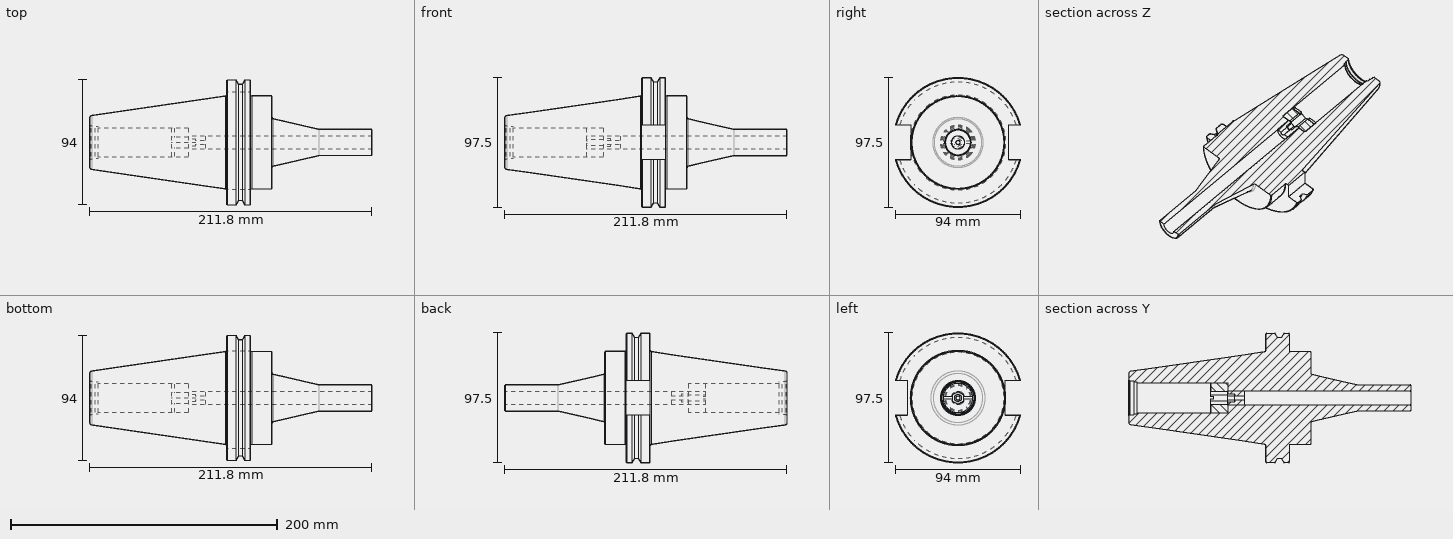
import cadquery as cq
import math

total_length = 211.8

taper_length = 101.9
taper_large_diameter = 69.9
taper_ratio = 7 / 24
taper_small_diameter = taper_large_diameter - taper_ratio * taper_length
taper_end_fillet = 2.0

flange_start = 102.7
flange_end = 120.7
flange_diameter = 97.5
flange_chamfer = 0.6
groove_start = 109.7
groove_end = 116.3
groove_depth = 3.2
groove_half_angle = 30
drive_slot_width = 25.8
drive_slot_floor_front = 35.4
drive_slot_floor_back = 38.0

collar_end = 136.8
collar_diameter = 70.0
collar_chamfer = 0.6
collar_relief_length = 0.8
nose_root_fillet = 1.0
nose_cone_start_diameter = 35.5
nose_cone_end = 171.7
shank_diameter = 20.0
shank_chamfer = 0.6

mouth_diameter = 26.3
mouth_chamfer_length = 1.0
counterbore_diameter = 25.0
counterbore_depth = 3.8
entry_diameter = 24.0
entry_depth = 6.1
bore_diameter = 22.0
bore_depth = 74.1
passage_diameter = 10.0

clamp_screw_length = 12.7
clamp_slot_width = 2.0
clamp_slot_depth = 2.1
clamp_hex_across_flats = 8.3

stop_screw_length = 12.7
stop_hex_across_flats = 5.0
stop_hex_depth = 5.3
coolant_hole_diameter = 3.0


def cylinder(diameter, start, length):
    """Cylinder on the X axis from x = start towards +X."""
    return cq.Workplane("YZ").workplane(offset=start).circle(diameter / 2).extrude(length)


def hex_prism(across_flats, start, length):
    """Hexagonal prism on the X axis with two corners pointing along Z."""
    corner_diameter = across_flats / math.cos(math.radians(30))
    prism = cq.Workplane("YZ").workplane(offset=start).polygon(6, corner_diameter).extrude(length)
    return prism.rotate((0, 0, 0), (1, 0, 0), 90)


def revolve_profile(points):
    """Solid of revolution about the X axis from (x, radius) points."""
    return cq.Workplane("XY").polyline(points).close().revolve(360, (0, 0, 0), (1, 0, 0))


def taper_body():
    """Taper that flares out at 45 degrees where it meets the flange."""
    body = revolve_profile([
        (0, 0),
        (0, taper_small_diameter / 2),
        (taper_length, taper_large_diameter / 2),
        (flange_start, taper_large_diameter / 2 + flange_start - taper_length),
        (flange_start, 0),
    ])
    return body.faces("<X").edges().fillet(taper_end_fillet)


def rim_groove():
    """V-shaped ring with a flat floor."""
    rim_radius = flange_diameter / 2
    floor_radius = rim_radius - groove_depth
    flank_width = groove_depth * math.tan(math.radians(groove_half_angle))
    return revolve_profile([
        (groove_start, rim_radius),
        (groove_start + flank_width, floor_radius),
        (groove_end - flank_width, floor_radius),
        (groove_end, rim_radius),
    ])


def drive_slot(floor_distance, side):
    """Block cut through the flange rim on the side with the given sign of Y."""
    depth = flange_diameter / 2 - floor_distance
    return cq.Workplane("XY").box(
        flange_end - flange_start, depth, drive_slot_width, centered=(False, True, True)
    ).translate((flange_start, side * (floor_distance + depth / 2), 0))


def flange():
    disc = cylinder(flange_diameter, flange_start, flange_end - flange_start)
    disc = disc.edges().chamfer(flange_chamfer)
    disc = disc.cut(rim_groove())
    disc = disc.cut(drive_slot(drive_slot_floor_front, -1))
    return disc.cut(drive_slot(drive_slot_floor_back, 1))


def collar():
    relief = cylinder(taper_large_diameter, flange_end, collar_relief_length)
    collar_start = flange_end + collar_relief_length
    ring = cylinder(collar_diameter, collar_start, collar_end - collar_start)
    return relief.union(ring.faces(">X").edges().chamfer(collar_chamfer))


def nose():
    """Cone and shank, with a concave fillet where the cone leaves the collar."""
    cone_start = collar_end + nose_root_fillet
    cone_radius = nose_cone_start_diameter / 2
    shank_radius = shank_diameter / 2
    fillet_center = (cone_start, cone_radius + nose_root_fillet)
    fillet_reach = nose_root_fillet * math.cos(math.radians(45))
    profile = (
        cq.Workplane("XY")
        .moveTo(collar_end, 0)
        .lineTo(collar_end, fillet_center[1])
        .threePointArc(
            (fillet_center[0] - fillet_reach, fillet_center[1] - fillet_reach),
            (cone_start, cone_radius),
        )
        .lineTo(nose_cone_end, shank_radius)
        .lineTo(total_length - shank_chamfer, shank_radius)
        .lineTo(total_length, shank_radius - shank_chamfer)
        .lineTo(total_length, 0)
        .close()
    )
    return profile.revolve(360, (0, 0, 0), (1, 0, 0))


def stepped_bore():
    """Chamfered mouth, two counterbores, main bore and the passage through the nose."""
    return revolve_profile([
        (0, 0),
        (0, mouth_diameter / 2),
        (mouth_chamfer_length, counterbore_diameter / 2),
        (counterbore_depth, counterbore_diameter / 2),
        (counterbore_depth, entry_diameter / 2),
        (entry_depth, entry_diameter / 2),
        (entry_depth, bore_diameter / 2),
        (bore_depth, bore_diameter / 2),
        (bore_depth, passage_diameter / 2),
        (total_length, passage_diameter / 2),
        (total_length, 0),
    ])


def make_holder():
    return taper_body().union(flange()).union(collar()).union(nose()).cut(stepped_bore())


def make_clamp_screw():
    head = bore_depth - clamp_screw_length
    screw = cylinder(bore_diameter, head, clamp_screw_length)
    slot = cq.Workplane("XY").box(
        clamp_slot_depth, bore_diameter, clamp_slot_width, centered=(False, True, True)
    ).translate((head, 0, 0))
    return screw.cut(slot).cut(hex_prism(clamp_hex_across_flats, head, clamp_screw_length))


def make_stop_screw():
    screw = cylinder(passage_diameter, bore_depth, stop_screw_length)
    screw = screw.cut(hex_prism(stop_hex_across_flats, bore_depth, stop_hex_depth))
    return screw.cut(cylinder(coolant_hole_diameter, bore_depth, stop_screw_length))


holder = make_holder()
clamp_screw = make_clamp_screw()
stop_screw = make_stop_screw()
result = cq.Compound.makeCompound([holder.val(), clamp_screw.val(), stop_screw.val()])